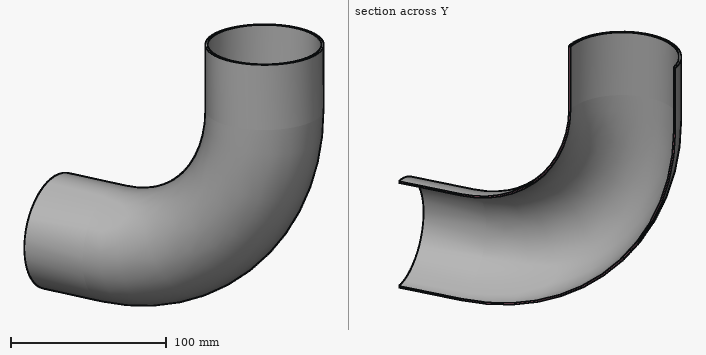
import cadquery as cq

overall_size = 196.9
outer_diameter = 76.2
wall_thickness = 1.5
leg_length = 44.5

outer_radius = outer_diameter / 2
inner_radius = outer_radius - wall_thickness
bend_radius = overall_size - leg_length - outer_radius


def pipe_section(workplane):
    """Ring-shaped cross-section of the pipe."""
    return workplane.circle(outer_radius).circle(inner_radius)


horizontal_leg = pipe_section(cq.Workplane("YZ")).extrude(leg_length)

bend_start = cq.Workplane("YZ", origin=(leg_length, 0, 0))
bend = pipe_section(bend_start).revolve(90, (0, bend_radius, 0), (-1, bend_radius, 0))

vertical_leg_base = (leg_length + bend_radius, 0, bend_radius)
vertical_leg = pipe_section(cq.Workplane("XY", origin=vertical_leg_base)).extrude(leg_length)

result = horizontal_leg.union(bend).union(vertical_leg)